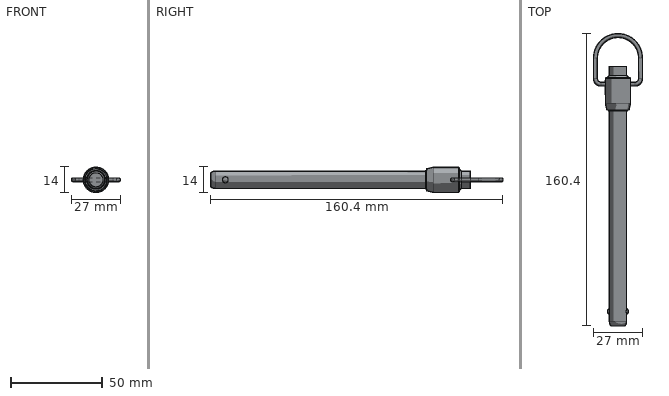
import cadquery as cq
import math

total_length = 160.4

shank_radius = 4.8
tip_radius = 3.8
tip_length = 2.5

handle_radius = 6.98
handle_start = 118.4
handle_end = 137.5
nose_radius = 6.1
nose_length = 3.7
collar_radius = 5.1
collar_length = 0.5
neck_radius = 6.0
neck_length = 1.1
rim_chamfer = 0.5
button_end = 142.5

ball_radius = 1.8
ball_y = 8.0
ball_reach = 5.8

ring_width = 27.0
wire_radius = 1.1
bend_radius = 3.0
leg_start = 135.7


def make_body():
    """Shank, handle and push button as one turned profile."""
    nose_end = handle_start + nose_length
    shoulder_y = handle_end - neck_length
    tip_drop = shank_radius - tip_radius
    tip_arc_radius = (tip_length**2 + tip_drop**2) / (2 * tip_drop)
    half_angle = math.asin(tip_length / tip_arc_radius) / 2
    tip_middle = (
        shank_radius - tip_arc_radius * (1 - math.cos(half_angle)),
        tip_length - tip_arc_radius * math.sin(half_angle),
    )
    profile = (
        cq.Workplane("XY")
        .lineTo(tip_radius, 0)
        .threePointArc(tip_middle, (shank_radius, tip_length))
        .lineTo(shank_radius, handle_start - collar_length)
        .lineTo(collar_radius, handle_start - collar_length)
        .lineTo(collar_radius, handle_start)
        .lineTo(nose_radius, handle_start)
        .lineTo(handle_radius, nose_end)
        .lineTo(handle_radius, shoulder_y - rim_chamfer)
        .lineTo(handle_radius - rim_chamfer, shoulder_y)
        .lineTo(neck_radius, shoulder_y)
        .lineTo(shank_radius, handle_end)
        .lineTo(shank_radius, button_end)
        .lineTo(0, button_end)
        .close()
    )
    return profile.revolve(360, (0, 0, 0), (0, 1, 0))


def make_ball(side):
    """Locking ball that stands out of the shank on one side."""
    return cq.Workplane("XY").sphere(ball_radius).translate((side * (ball_reach - ball_radius), ball_y, 0))


def make_ring():
    """Round wire bent into a D, with both ends meeting inside the handle."""
    leg_x = ring_width / 2 - wire_radius
    arch_y = total_length - wire_radius - leg_x
    cross_y = leg_start - bend_radius
    bend_x = leg_x - bend_radius
    bend_offset = bend_radius * math.sqrt(0.5)
    path = (
        cq.Workplane("XY")
        .moveTo(0, cross_y)
        .lineTo(bend_x, cross_y)
        .threePointArc((bend_x + bend_offset, leg_start - bend_offset), (leg_x, leg_start))
        .lineTo(leg_x, arch_y)
        .threePointArc((0, arch_y + leg_x), (-leg_x, arch_y))
        .lineTo(-leg_x, leg_start)
        .threePointArc((-bend_x - bend_offset, leg_start - bend_offset), (-bend_x, cross_y))
        .lineTo(0, cross_y)
    )
    wire_section = cq.Workplane("YZ").center(cross_y, 0).circle(wire_radius)
    return wire_section.sweep(path)


result = make_body().union(make_ring())
for side in (-1, 1):
    result = result.union(make_ball(side))